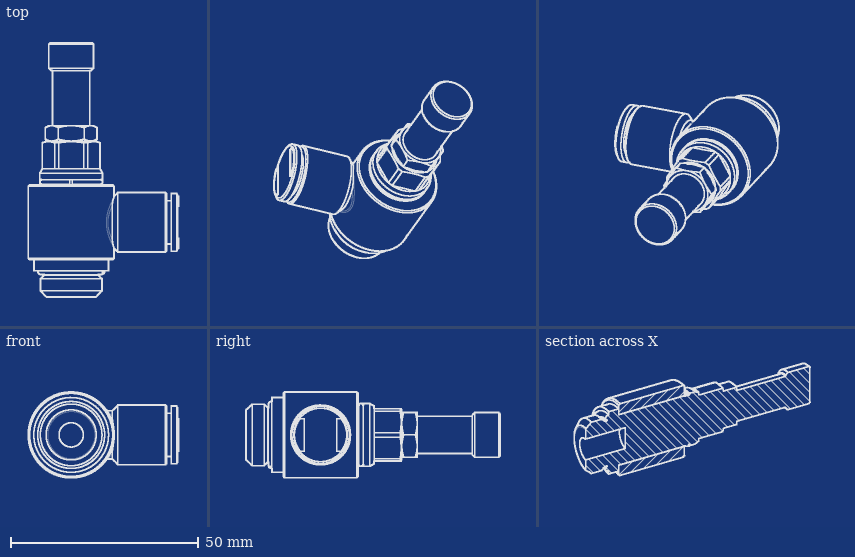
import cadquery as cq
import math


housing_diameter = 23.0
housing_length = 20.0
housing_start = 10.0
housing_end = housing_start + housing_length
housing_chamfer = 0.4
shaft_diameter = 15.9

port_y = housing_start + housing_length / 2
port_neck_diameter = 13.0
port_neck_fillet = 0.5
port_diameter = 16.0
port_cone_start = 11.0
port_cone_end = port_cone_start + (port_diameter - port_neck_diameter) / 2
port_cone_overlap = 1.0
port_end = 25.5
port_edge_chamfer = 0.35

collet_stem_diameter = 11.62
collet_diameter = 15.5
collet_start = 26.7
collet_end = 28.5
collet_chamfer_length = 0.35
collet_chamfer_depth = 0.6
collet_lug_height = 0.25
collet_lug_reach = 7.0
collet_lug_inner = 4.3
collet_lug_width = 8.6

thread_diameter = 16.5
thread_end = 4.9
tip_face_diameter = 12.6
tip_edge_diameter = 13.4
tip_edge_height = 0.1
tip_chamfer_length = 1.75
undercut_diameter = 14.5
undercut_start = thread_end + (thread_diameter - undercut_diameter) / 2
bore_diameter = 6.5
bore_depth = 12.0

flange_diameter = 20.0
flange_start = 7.0
o_ring_outer_diameter = 17.9
o_ring_section_radius = (o_ring_outer_diameter - undercut_diameter) / 4
o_ring_centre_below_flange = 0.1
o_ring_y = flange_start - o_ring_centre_below_flange

collar_diameter = 16.85
collar_start = 31.4
collar_cone_start = 33.1
collar_end = 34.3
snap_ring_section_radius = 0.6
snap_ring_above_housing = 0.75
snap_ring_y = housing_end + snap_ring_above_housing
snap_ring_gap = 0.65

large_hex_flats = 14.0
large_hex_corner_diameter = 15.5
large_hex_end = 41.7
large_hex_chamfer_diameter = 13.0
large_hex_chamfer_length = 0.45
nut_flats = 12.0
nut_end = 45.8
nut_chamfer_length = 0.5

stem_diameter = 10.0
knob_diameter = 12.0
knob_start = 60.5
knob_end = 68.0
knob_lower_chamfer = 0.7
knob_upper_chamfer = 0.45


def turned_about_y(profile):
    """Solid of revolution from (diameter, y) points, closed along the Y axis."""
    outline = [(0, profile[0][1])]
    outline += [(diameter / 2, y) for diameter, y in profile]
    outline += [(0, profile[-1][1])]
    return cq.Workplane("XY").polyline(outline).close().revolve(360, (0, 0), (0, 1))


def turned_about_port(profile):
    """Solid of revolution about the port axis from (x, diameter) points."""
    outline = [(profile[0][0], 0)]
    outline += [(x, diameter / 2) for x, diameter in profile]
    outline += [(profile[-1][0], 0)]
    plane = cq.Workplane("XY", origin=(0, port_y, 0))
    return plane.polyline(outline).close().revolve(360, (0, 0), (1, 0))


def hex_prism(across_flats, start, end):
    """Hexagonal prism along Y with two flats facing +Z and -Z."""
    corner_diameter = across_flats / math.cos(math.pi / 6)
    plane = cq.Workplane("XZ", origin=(0, end, 0))
    return plane.polygon(6, corner_diameter).extrude(end - start)


def ring_about_y(outer_diameter, section_radius, y):
    """Round-section ring centred on the Y axis."""
    centre_radius = outer_diameter / 2 - section_radius
    return cq.Workplane(cq.Solid.makeTorus(
        centre_radius, section_radius, cq.Vector(0, y, 0), cq.Vector(0, 1, 0)))


def make_port():
    """Port body with its collet; the cone's narrow end is buried in the neck."""
    return turned_about_port([
        (port_cone_start - port_cone_overlap, port_neck_diameter - 2 * port_cone_overlap),
        (port_cone_end, port_diameter),
        (port_end - port_edge_chamfer, port_diameter),
        (port_end, port_diameter - 2 * port_edge_chamfer),
        (port_end, collet_stem_diameter),
        (collet_start, collet_stem_diameter),
        (collet_start, collet_diameter),
        (collet_end - collet_chamfer_length, collet_diameter),
        (collet_end, collet_diameter - 2 * collet_chamfer_depth),
    ])


def make_collet_lugs():
    """Two low raised lugs on the collet face, at its +Y and -Y sides."""
    disc = cq.Workplane("YZ", origin=(collet_end, port_y, 0)).circle(collet_lug_reach)
    disc = disc.extrude(collet_lug_height)
    lug_length = collet_lug_reach - collet_lug_inner
    lug_offset = (collet_lug_reach + collet_lug_inner) / 2
    blocks = cq.Workplane("YZ", origin=(collet_end, port_y, 0))
    blocks = blocks.pushPoints([(-lug_offset, 0), (lug_offset, 0)])
    blocks = blocks.rect(lug_length, collet_lug_width).extrude(collet_lug_height)
    return disc.intersect(blocks)


def make_housing():
    barrel = turned_about_y([
        (housing_diameter - 2 * housing_chamfer, housing_start),
        (housing_diameter, housing_start + housing_chamfer),
        (housing_diameter, housing_end - housing_chamfer),
        (housing_diameter - 2 * housing_chamfer, housing_end),
    ])
    neck = turned_about_port([(0, port_neck_diameter), (port_cone_end, port_neck_diameter)])
    body = barrel.union(neck)
    body = body.edges("not(%LINE or %CIRCLE)").fillet(port_neck_fillet)
    body = body.union(make_port()).union(make_collet_lugs())
    shaft_hole = turned_about_y([(shaft_diameter, housing_start), (shaft_diameter, housing_end)])
    return body.cut(shaft_hole)


def make_large_hex():
    envelope = turned_about_y([
        (large_hex_corner_diameter, collar_end),
        (large_hex_corner_diameter, large_hex_end - large_hex_chamfer_length),
        (large_hex_chamfer_diameter, large_hex_end),
    ])
    return hex_prism(large_hex_flats, collar_end, large_hex_end).intersect(envelope)


def make_nut():
    corner_diameter = nut_flats / math.cos(math.pi / 6)
    envelope = turned_about_y([
        (nut_flats, large_hex_end),
        (corner_diameter, large_hex_end + nut_chamfer_length),
        (corner_diameter, nut_end - nut_chamfer_length),
        (nut_flats, nut_end),
    ])
    return hex_prism(nut_flats, large_hex_end, nut_end).intersect(envelope)


def make_snap_ring():
    """Snap ring with its gap facing +Z."""
    ring = ring_about_y(collar_diameter, snap_ring_section_radius, snap_ring_y)
    gap = cq.Workplane("XY", origin=(0, snap_ring_y, 0))
    ring_width = 2 * snap_ring_section_radius
    gap = gap.rect(snap_ring_gap, ring_width).extrude(collar_diameter)
    return ring.cut(gap)


def make_core():
    lower = turned_about_y([
        (tip_face_diameter, 0),
        (tip_edge_diameter, tip_edge_height),
        (thread_diameter, tip_chamfer_length),
        (thread_diameter, thread_end),
        (undercut_diameter, undercut_start),
        (undercut_diameter, flange_start),
        (flange_diameter, flange_start),
        (flange_diameter, housing_start),
        (shaft_diameter, housing_start),
        (shaft_diameter, collar_start),
        (collar_diameter, collar_start),
        (collar_diameter, collar_cone_start),
        (large_hex_corner_diameter, collar_end),
    ])
    upper = turned_about_y([
        (stem_diameter, nut_end),
        (stem_diameter, knob_start),
        (knob_diameter - 2 * knob_lower_chamfer, knob_start),
        (knob_diameter, knob_start + knob_lower_chamfer),
        (knob_diameter, knob_end - knob_upper_chamfer),
        (knob_diameter - 2 * knob_upper_chamfer, knob_end),
    ])
    o_ring = ring_about_y(o_ring_outer_diameter, o_ring_section_radius, o_ring_y)
    core = lower.union(make_large_hex()).union(make_nut()).union(upper)
    core = core.union(o_ring).union(make_snap_ring())
    bore = turned_about_y([(bore_diameter, 0), (bore_diameter, bore_depth)])
    return core.cut(bore)


housing = make_housing()
core = make_core()

result = cq.Compound.makeCompound([housing.solids().val(), core.solids().val()])